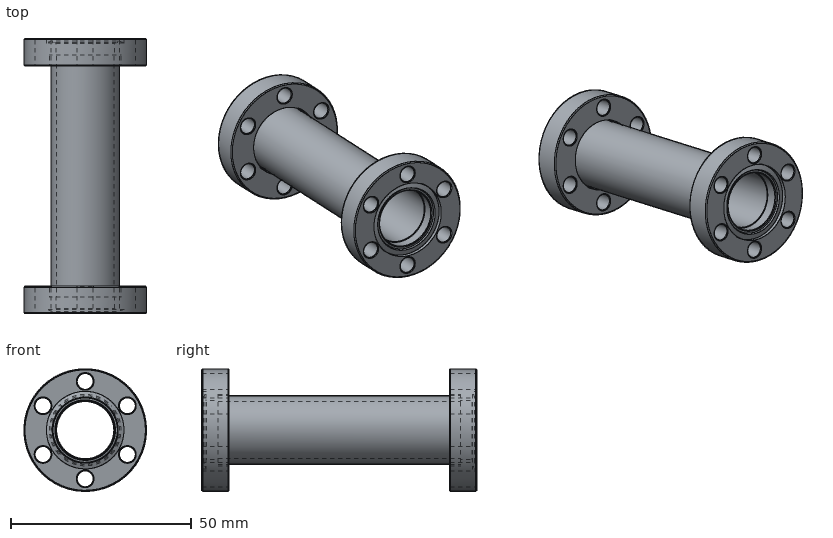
import cadquery as cq
overall_length = 76.2
flange_diameter = 34.0
flange_radius = flange_diameter / 2
flange_thickness = 7.6
rim_chamfer = 0.3

tube_radius = 9.5
tube_bore_radius = 7.9
tube_setback = 4.6
tube_length = overall_length - 2 * tube_setback
socket_clearance = 0.4
socket_radius = tube_radius + socket_clearance

recess_radius = 10.75
recess_depth = 1.2
knife_radius = 9.15
knife_setback = 0.6
knife_bevel_width = 0.2
knife_bevel_depth = 0.5
inner_land_setback = knife_setback + knife_bevel_depth
flange_bore_radius = 8.15
bore_chamfer = 0.2

bolt_count = 6
bolt_circle_radius = 13.5
first_bolt_angle = 90
bolt_hole_radius = 4.4 / 2
bolt_hole_chamfer = 0.2


def revolve_about_z(points):
    """Solid of revolution about Z from a closed outline of (radius, height) points."""
    outline = cq.Workplane("XZ").polyline(points).close()
    return outline.revolve(360, (0, 0, 0), (0, 1, 0))


def make_flange_blank():
    """Flange ring with its sealing face at Z = 0 and its back at Z = flange_thickness."""
    return revolve_about_z([
        (recess_radius, 0),
        (flange_radius - rim_chamfer, 0),
        (flange_radius, rim_chamfer),
        (flange_radius, flange_thickness - rim_chamfer),
        (flange_radius - rim_chamfer, flange_thickness),
        (socket_radius, flange_thickness),
        (socket_radius, tube_setback),
        (flange_bore_radius, tube_setback),
        (flange_bore_radius, inner_land_setback + bore_chamfer),
        (flange_bore_radius + bore_chamfer, inner_land_setback),
        (knife_radius - knife_bevel_width, inner_land_setback),
        (knife_radius, knife_setback),
        (recess_radius, recess_depth),
    ])


def make_bolt_hole_cutter():
    """Solid that cuts one bolt hole along Z, chamfered at both ends."""
    mouth_radius = bolt_hole_radius + bolt_hole_chamfer
    return revolve_about_z([
        (0, 0),
        (mouth_radius, 0),
        (bolt_hole_radius, bolt_hole_chamfer),
        (bolt_hole_radius, flange_thickness - bolt_hole_chamfer),
        (mouth_radius, flange_thickness),
        (0, flange_thickness),
    ])


def make_flange():
    """Flange with its ring of bolt holes."""
    bolt_hole = make_bolt_hole_cutter().val()
    bolt_holes = (
        cq.Workplane("XY")
        .polarArray(bolt_circle_radius, first_bolt_angle, 360, bolt_count)
        .eachpoint(lambda place: bolt_hole.located(place))
    )
    return make_flange_blank().cut(bolt_holes)


def make_tube():
    """Plain tube along Y, centred on the origin."""
    return (
        cq.Workplane("XZ", origin=(0, tube_length / 2, 0))
        .circle(tube_radius)
        .circle(tube_bore_radius)
        .extrude(tube_length)
    )


tube = make_tube()

flanges = []
for end in (-1, 1):
    flange = make_flange().rotate((0, 0, 0), (1, 0, 0), end * 90)
    flange = flange.translate((0, end * overall_length / 2, 0))
    flanges.append(flange.val())

result = cq.Compound.makeCompound([tube.val(), *flanges])